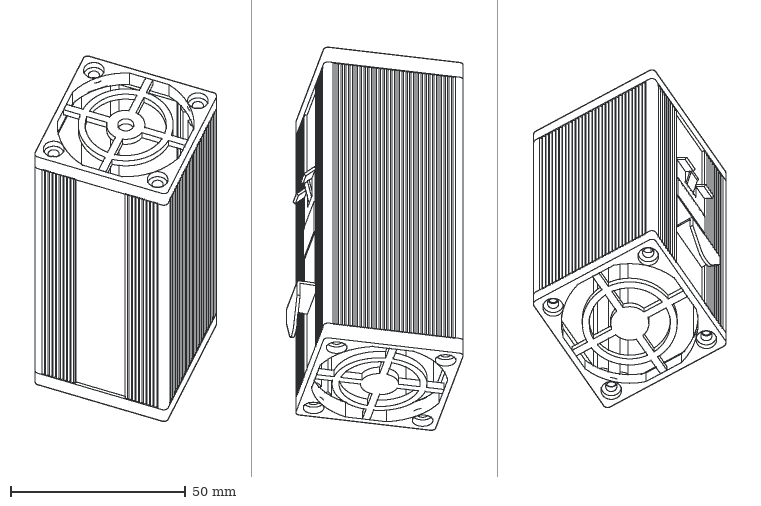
import cadquery as cq
import math

side = 41.0
corner_radius = 1.4
housing_length = 90.0
cap_height = 5.1

screw_pitch = 32.0
screw_hole_diameter = 3.2
counterbore_diameter = 5.9
counterbore_depth = 2.2

opening_radius = 19.65
opening_flat = 37.4

guard_thickness = 2.2
spoke_width = 2.2
ring_outer_radius = 13.65
ring_inner_radius = 11.65
hub_radius = 5.5
hub_hole_radius = 2.3

wall = 2.05
channel_wall = 1.9
recess_width = 15.5
recess_depth = 0.9
groove_pitch = 1.12
cut_margin = 1.0
side_groove_count = 32
front_groove_count = 9

boss_width = 8.4
boss_face = 18.8
closed_boss_face = 19.7
tapped_hole_diameter = 2.7
boss_edge_radius = 0.75
screw_slot_width = 3.4

clip_width = 15.0
clip_sheet = 0.9
pad_height = 10.4
pad_rise = 0.3
tongue_width = 3.4
tongue_sheet = 0.6
tongue_root_z = 10.0
tongue_tip_y = 21.55
tongue_tip_z = 17.15
tongue_bead_radius = 0.55
tab_gap = 5.9
tab_root_z = 17.3
tab_reach = 3.3
tab_drop = 3.0
hook_top_z = -22.7
hook_outer_y = 25.81
hook_bend_radius = 0.5
hook_taper_z = -27.8
hook_bottom_z = -36.8
hook_tip_radius = 3.5
hook_arm_drop = 0.2

half_side = side / 2
half_length = housing_length / 2
screw_offset = screw_pitch / 2
half_turn = (0, 180)
screw_places = [(sx * screw_offset, sy * screw_offset) for sx in (1, -1) for sy in (1, -1)]
screw_distance = screw_offset * math.sqrt(2)
recess_floor = half_side - recess_depth


def rounded_block(height):
    return cq.Workplane("XY").rect(side, side).extrude(height).edges("|Z").fillet(corner_radius)


def z_box(size_x, size_y, height):
    return cq.Workplane("XY").rect(size_x, size_y).extrude(height)


def build_cap():
    opening = (
        cq.Workplane("XY").circle(opening_radius).extrude(cap_height)
        .intersect(z_box(opening_flat, opening_flat, cap_height))
    )
    return (
        rounded_block(cap_height).cut(opening)
        .faces(">Z").workplane(origin=(0, 0, cap_height)).pushPoints(screw_places)
        .cboreHole(screw_hole_diameter, counterbore_diameter, counterbore_depth)
    )


def build_guard(hub_is_open):
    ring = (
        cq.Workplane("XY").circle(ring_outer_radius).circle(ring_inner_radius)
        .extrude(guard_thickness)
    )
    guard = (
        z_box(opening_flat, spoke_width, guard_thickness)
        .union(z_box(spoke_width, opening_flat, guard_thickness))
        .union(ring)
        .union(cq.Workplane("XY").circle(hub_radius).extrude(guard_thickness))
    )
    if hub_is_open:
        guard = guard.cut(cq.Workplane("XY").circle(hub_hole_radius).extrude(guard_thickness))
    return guard.translate((0, 0, cap_height - guard_thickness))


def groove_row(first, count):
    """Row of 90-degree V-grooves along the -Y face, starting at X = first."""
    points = [(first, -half_side)]
    for i in range(count):
        points.append((first + (i + 0.5) * groove_pitch, -half_side + groove_pitch / 2))
        points.append((first + (i + 1) * groove_pitch, -half_side))
    points.append((first + count * groove_pitch, -half_side - cut_margin))
    points.append((first, -half_side - cut_margin))
    return cq.Workplane("XY").polyline(points).close().extrude(housing_length)


def boss_blank(face):
    """Block reaching outwards along X from the boss face to the housing corner."""
    depth = half_side * math.sqrt(2) - face
    return (
        z_box(depth, boss_width, housing_length)
        .translate((face + depth / 2, 0, 0))
        .edges("|Z and <X").fillet(boss_edge_radius)
    )


def screw_bore(diameter):
    return cq.Workplane("XY").center(screw_distance, 0).circle(diameter / 2).extrude(housing_length)


def build_slotted_boss():
    """Boss whose screw channel opens towards the middle of the housing."""
    slot_length = screw_distance - boss_face
    slot = z_box(slot_length, screw_slot_width, housing_length).translate(
        (boss_face + slot_length / 2, 0, 0)
    )
    return boss_blank(boss_face).cut(slot).cut(screw_bore(screw_slot_width))


def build_closed_boss():
    return boss_blank(closed_boss_face).cut(screw_bore(tapped_hole_diameter))


def build_housing():
    inside = side - 2 * wall
    bore = z_box(inside, inside, housing_length)
    for boss, corner_angle in ((build_slotted_boss(), 45), (build_closed_boss(), 135)):
        for turn in half_turn:
            bore = bore.cut(boss.rotate((0, 0, 0), (0, 0, 1), corner_angle + turn))

    bulge_width = recess_width + 2 * (wall - recess_depth)
    bulge_height = recess_depth + channel_wall - wall
    for y_sign in (1, -1):
        bulge = z_box(bulge_width, bulge_height, housing_length)
        bore = bore.cut(bulge.translate((0, y_sign * (half_side - wall - bulge_height / 2), 0)))

    housing = rounded_block(housing_length).cut(bore)

    front_grooves = groove_row(recess_width / 2, front_groove_count)
    front_grooves = front_grooves.union(front_grooves.mirror("YZ"))
    side_grooves = groove_row(-side_groove_count * groove_pitch / 2, side_groove_count)
    channel = z_box(recess_width, recess_depth, housing_length).translate(
        (0, -half_side + recess_depth / 2, 0)
    )
    for turn in half_turn:
        for cutter, offset in ((front_grooves, 0), (channel, 0), (side_grooves, 90)):
            housing = housing.cut(cutter.rotate((0, 0, 0), (0, 0, 1), turn + offset))
    return housing.translate((0, 0, -half_length))


def side_profile(points, width):
    """Closed (Y, Z) outline extruded to the given width, centred on X = 0."""
    return cq.Workplane("YZ").polyline(points).close().extrude(width / 2, both=True)


def build_base():
    base_bottom_z = hook_top_z - hook_arm_drop - clip_sheet
    base_height = tab_root_z - base_bottom_z
    base = z_box(clip_width, recess_depth, base_height).translate(
        (0, recess_floor + recess_depth / 2, base_bottom_z)
    )
    pad = z_box(clip_width, pad_rise, pad_height).translate(
        (0, half_side + pad_rise / 2, -pad_height / 2)
    )
    window_height = tab_root_z - tongue_root_z
    window = z_box(tab_gap, recess_depth, window_height).translate(
        (0, recess_floor + recess_depth / 2, tongue_root_z)
    )
    return base.union(pad).cut(window)


def build_tongue():
    """Springy tongue leaning outwards to a rounded bead."""
    lean = [
        (recess_floor, tongue_root_z),
        (recess_floor + tongue_sheet, tongue_root_z),
        (tongue_tip_y + tongue_sheet / 2, tongue_tip_z),
        (tongue_tip_y - tongue_sheet / 2, tongue_tip_z),
    ]
    bead = (
        cq.Workplane("YZ").center(tongue_tip_y, tongue_tip_z)
        .circle(tongue_bead_radius).extrude(tongue_width / 2, both=True)
    )
    return side_profile(lean, tongue_width).union(bead)


def build_tabs():
    """Pair of tabs sloping outwards and down on each side of the tongue."""
    slope_length = math.hypot(tab_reach, tab_drop)
    inward_y = clip_sheet * tab_drop / slope_length
    down_z = clip_sheet * tab_reach / slope_length
    tip_y = half_side + tab_reach
    tip_z = tab_root_z - tab_drop
    outline = [
        (half_side, tab_root_z),
        (tip_y, tip_z),
        (tip_y - inward_y, tip_z - down_z),
        (half_side, tab_root_z - clip_sheet * slope_length / tab_reach),
    ]
    return side_profile(outline, clip_width).cut(side_profile(outline, tab_gap))


def build_hook():
    """L-shaped hook whose hanging leg tapers to a rounded tip."""
    arm_root_z = hook_top_z - hook_arm_drop
    side_outline = [
        (half_side, arm_root_z - clip_sheet),
        (hook_outer_y - clip_sheet, hook_top_z - clip_sheet),
        (hook_outer_y - clip_sheet, hook_bottom_z),
        (hook_outer_y, hook_bottom_z),
        (hook_outer_y, hook_top_z),
        (half_side, arm_root_z),
    ]
    hook = side_profile(side_outline, clip_width)
    hook = hook.edges("|X and >Y and >Z").fillet(hook_bend_radius)

    tip_centre_z = hook_bottom_z + hook_tip_radius
    shoulder_x = clip_width / 2
    shoulder_rise = hook_taper_z - tip_centre_z
    shoulder_distance = math.hypot(shoulder_x, shoulder_rise)
    shoulder_angle = math.atan2(shoulder_rise, shoulder_x)
    tangent_angle = shoulder_angle - math.acos(hook_tip_radius / shoulder_distance)
    tangent_x = hook_tip_radius * math.cos(tangent_angle)
    tangent_z = tip_centre_z + hook_tip_radius * math.sin(tangent_angle)
    front_outline = (
        cq.Workplane("XZ")
        .moveTo(-shoulder_x, hook_top_z)
        .lineTo(shoulder_x, hook_top_z)
        .lineTo(shoulder_x, hook_taper_z)
        .lineTo(tangent_x, tangent_z)
        .threePointArc((0, hook_bottom_z), (-tangent_x, tangent_z))
        .lineTo(-shoulder_x, hook_taper_z)
        .close()
        .extrude(-hook_outer_y)
    )
    return hook.intersect(front_outline)


def build_clip():
    return build_base().union(build_tongue()).union(build_tabs()).union(build_hook())


def on_top(body):
    return body.translate((0, 0, half_length))


def at_bottom(body):
    return on_top(body).mirror("XY")


housing = build_housing()
top_cap = on_top(build_cap())
bottom_cap = at_bottom(build_cap())
top_guard = on_top(build_guard(hub_is_open=True))
bottom_guard = at_bottom(build_guard(hub_is_open=False))
clip = build_clip()

bodies = [housing, top_cap, bottom_cap, top_guard, bottom_guard, clip]
result = cq.Compound.makeCompound([body.solids().val() for body in bodies])